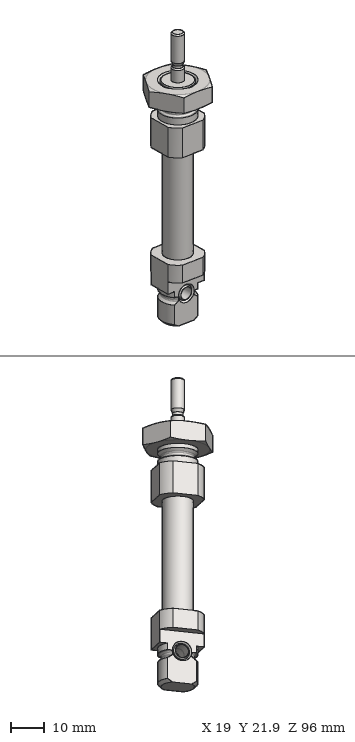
import cadquery as cq
import math

total_length = 96.0
nut_top = 80.0
nut_height = 6.0
front_groove_top = 72.8
front_cap_top = 68.0
front_cap_bottom = 58.0
rear_cap_top = 22.0
clevis_top = 16.0
rear_cap_bottom = 12.0
rear_groove_bottom = 7.5
pivot_height = 10.0
nut_bottom = nut_top - nut_height

rod_diameter = 4.0
rod_neck_diameter = 3.2
rod_thread_end = 86.4
rod_neck_bottom = 84.1

thread_diameter = 12.0
seat_diameter = 10.7
undercut_diameter = 10.0
undercut_length = 2.5
undercut_fillet = 0.6
tube_diameter = 9.3
cap_width = 14.0
cap_corner_diameter = 16.0

clevis_thickness = 8.0
pivot_diameter = 4.0
lip_end_diameter = 4.1
lip_diameter = 5.0
pivot_mouth_diameter = 6.0

nut_across_flats = 19.0
nut_chamfer_angle = 15.0


def cylinder(diameter, bottom, top):
    """Cylinder on the Z axis between two heights."""
    return cq.Workplane("XY").workplane(offset=bottom).circle(diameter / 2).extrude(top - bottom)


def revolve_profile(points):
    """Solid turned about the Z axis from (radius, height) points."""
    return cq.Workplane("XZ").polyline(points).close().revolve(360, (0, 0), (0, 1))


def make_cap(bottom, top):
    """Square cap whose corners are rounded by a circle on the axis."""
    height = top - bottom
    square = cq.Workplane("XY").workplane(offset=bottom).rect(cap_width, cap_width).extrude(height)
    return square.intersect(cylinder(cap_corner_diameter, bottom, top))


def make_undercut(shoulder, thread_side):
    """Ring to cut: square shoulder at one end, 45 degree run-out at the thread end.

    thread_side is +1 when the thread lies above the shoulder and -1 when it lies below.
    """
    outer = thread_diameter / 2
    inner = undercut_diameter / 2
    runout = shoulder + thread_side * undercut_length
    corner = runout - thread_side * (outer - inner)
    ring = revolve_profile([(outer, shoulder), (inner, shoulder), (inner, corner), (outer, runout)])
    inner_edges = cq.selectors.RadiusNthSelector(0)
    return ring.edges(inner_edges).fillet(undercut_fillet)


def make_front_end():
    """Threaded nose and cap at the rod end."""
    tip_chamfer = (seat_diameter - undercut_diameter) / 2
    seat = cylinder(seat_diameter, nut_bottom, nut_top).faces(">Z").chamfer(tip_chamfer)
    nose = cylinder(thread_diameter, front_cap_top, nut_bottom).union(seat)
    nose = nose.cut(make_undercut(front_groove_top - undercut_length, 1))
    return nose.union(make_cap(front_cap_bottom, front_cap_top))


def make_pivot_hole():
    """Cross hole along X, ringed on each clevis face by a V groove around its chamfered lip."""
    face = clevis_thickness / 2
    mouth = pivot_mouth_diameter / 2
    valley = lip_diameter / 2
    lip = lip_end_diameter / 2
    bore = pivot_diameter / 2
    depth = mouth - valley
    hole = cq.Workplane("YZ").circle(bore).extrude(face, both=True)
    for side in (-1, 1):
        groove = [(side * face, mouth), (side * (face - depth), valley), (side * face, lip)]
        hole = hole.union(cq.Workplane("XZ").polyline(groove).close().revolve(360, (0, 0), (1, 0)))
    return hole.translate((0, 0, pivot_height))


def make_rear_end():
    """Rear cap and threaded stub, flattened into a clevis with a pivot hole."""
    end_chamfer = (thread_diameter - undercut_diameter) / 2
    stub = cylinder(thread_diameter, 0, rear_cap_bottom).faces("<Z").chamfer(end_chamfer)
    stub = stub.cut(make_undercut(rear_groove_bottom + undercut_length, -1))
    rear = stub.union(make_cap(rear_cap_bottom, rear_cap_top))
    clevis = cq.Workplane("XY").rect(clevis_thickness, cap_width).extrude(clevis_top)
    upper = cylinder(cap_corner_diameter, clevis_top, rear_cap_top)
    return rear.intersect(clevis.union(upper)).cut(make_pivot_hole())


def make_housing(rod):
    """Both ends joined by the tube, with a blind bore that receives the rod."""
    tube = cylinder(tube_diameter, rear_cap_top, front_cap_bottom)
    return make_front_end().union(tube).union(make_rear_end()).cut(rod)


def make_rod():
    """Piston rod with a chamfered tip and a thread run-out neck, seated in the nose."""
    outer = rod_diameter / 2
    neck = rod_neck_diameter / 2
    chamfer = outer - neck
    runout_length = 1.1
    return revolve_profile([
        (0, front_cap_bottom),
        (outer, front_cap_bottom),
        (outer, rod_neck_bottom),
        (neck, rod_neck_bottom + chamfer),
        (neck, rod_thread_end - runout_length),
        (outer, rod_thread_end),
        (outer, total_length - chamfer),
        (neck, total_length),
        (0, total_length),
    ])


def make_nut():
    """Hexagonal nut with corners along Y, both faces chamfered and a countersunk bore."""
    corner_diameter = nut_across_flats / math.cos(math.radians(30))
    hexagon = cq.Workplane("XY").workplane(offset=nut_bottom).polygon(6, corner_diameter)
    blank = hexagon.extrude(nut_height).rotate((0, 0, 0), (0, 0, 1), 30)
    face_radius = nut_across_flats / 2
    corner_radius = corner_diameter / 2
    drop = (corner_radius - face_radius) * math.tan(math.radians(nut_chamfer_angle))
    envelope = revolve_profile([
        (0, nut_bottom),
        (face_radius, nut_bottom),
        (corner_radius, nut_bottom + drop),
        (corner_radius, nut_top - drop),
        (face_radius, nut_top),
        (0, nut_top),
    ])
    bore = cylinder(seat_diameter, nut_bottom, nut_top)
    outer = thread_diameter / 2
    inner = seat_diameter / 2
    countersink = revolve_profile([
        (0, nut_top - outer + inner),
        (inner, nut_top - outer + inner),
        (outer, nut_top),
        (0, nut_top),
    ])
    return blank.intersect(envelope).cut(bore).cut(countersink)


rod = make_rod()
housing = make_housing(rod)
nut = make_nut()

result = cq.Compound.makeCompound([housing.val(), rod.val(), nut.val()])